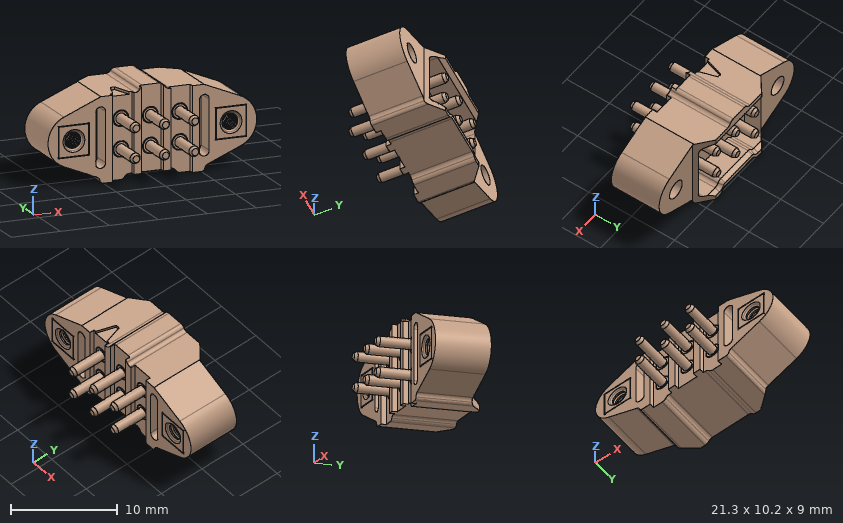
import cadquery as cq
import math

OVERALL_LENGTH = 21.3
BODY_DEPTH = 7.0
EAR_DEPTH = 5.6
OVERALL_HEIGHT = 9.0
HALF_HEIGHT = OVERALL_HEIGHT / 2
SHOULDER_HEIGHT = 4.0
SHOULDER_HALF_LENGTH = 5.26
SCREW_X = 8.0
EAR_RADIUS = OVERALL_LENGTH / 2 - SCREW_X

RIDGE_TOP_HALF = 0.87
NOTCH_TOP_HALF = 2.15
STEP_LENGTH = 0.9
FOOT_HALF_LENGTH = 5.35
FOOT_FILLET = 0.51
FOOT_ROUND = 0.35

SLANT_OUTER_X = 5.37
SLANT_INNER_X = 3.62

RECESS_DEPTH = 0.51
CENTER_RECESS_HALF = 1.1
SIDE_RECESS_INNER_X = 1.9
SIDE_RECESS_OUTER_X = 4.07

POCKET_DEPTH = 3.0
POCKET_HALF_LENGTH = 4.92
WALL = 0.77
POCKET_TOP_FILLET = 0.7
POCKET_BOTTOM_FILLET = 0.36
LEAD_IN_DEPTH = 0.51
LEAD_IN_WIDTH = 0.25

SLOT_X = 5.28
SLOT_WIDTH = 1.0
SLOT_LENGTH = 6.0
SLOT_DEPTH = 2.0

ARROW_END_Y = 2.5
ARROW_BASE_HALF = 0.83
ARROW_TIP_HALF = 0.21
ARROW_DEPTH = 0.25

PIN_PITCH = 3.0
PIN_COLUMNS = 3
PIN_ROWS = 2
PIN_RADIUS = 0.51
PIN_TAIL = 3.2
PIN_TIP_Y = 6.88
PIN_CHAMFER_LENGTH = 0.32
PIN_CHAMFER_WIDTH = 0.17
COLLAR_RADIUS = 0.72
COLLAR_LENGTH = 1.0

NUT_SIDE = 3.0
NUT_DEPTH = 3.0
THREAD_PITCH = 0.4
THREAD_MINOR_RADIUS = 0.79
THREAD_MAJOR_RADIUS = 0.98
THREAD_GROOVE_WIDTH = 0.25
NUT_CHAMFER_RADIUS = 1.1
SCREW_CLEARANCE_RADIUS = 1.0

SEAT_GAP = 0.075

PIN_XS = [(column - (PIN_COLUMNS - 1) / 2) * PIN_PITCH for column in range(PIN_COLUMNS)]
PIN_ZS = [(row - (PIN_ROWS - 1) / 2) * PIN_PITCH for row in range(PIN_ROWS)]


def plane_at(y):
    """Workplane parallel to XZ at the given Y; a negative extrusion runs toward +Y."""
    return cq.Workplane("XZ", origin=(0, y, 0))


def box(x_start, x_end, y_start, y_end, z_start, z_end):
    corner = cq.Vector(x_start, y_start, z_start)
    return cq.Workplane(cq.Solid.makeBox(x_end - x_start, y_end - y_start, z_end - z_start, corner))


def rounded_step(outline, start, end):
    """Continue a horizontal line from one level to another by two equal tangent arcs."""
    middle = ((start[0] + end[0]) / 2, (start[1] + end[1]) / 2)
    return outline.tangentArcPoint(middle, relative=False).tangentArcPoint(end, relative=False)


def ear_tangent():
    """Point on the right ear's arc where the line from the shoulder corner touches it."""
    dx = SHOULDER_HALF_LENGTH - SCREW_X
    distance = math.hypot(dx, SHOULDER_HEIGHT)
    angle = math.atan2(SHOULDER_HEIGHT, dx) - math.acos(EAR_RADIUS / distance)
    return SCREW_X + EAR_RADIUS * math.cos(angle), EAR_RADIUS * math.sin(angle)


def flange():
    """Prism of the full outer outline, with rounded feet."""
    tangent_x, tangent_z = ear_tangent()
    slope = (SHOULDER_HEIGHT - tangent_z) / (tangent_x - SHOULDER_HALF_LENGTH)
    foot_top = SHOULDER_HEIGHT - slope * (FOOT_HALF_LENGTH - SHOULDER_HALF_LENGTH)
    outline = plane_at(0).moveTo(-SHOULDER_HALF_LENGTH, SHOULDER_HEIGHT)
    outline = outline.lineTo(-RIDGE_TOP_HALF - STEP_LENGTH, SHOULDER_HEIGHT)
    outline = rounded_step(
        outline, (-RIDGE_TOP_HALF - STEP_LENGTH, SHOULDER_HEIGHT), (-RIDGE_TOP_HALF, HALF_HEIGHT)
    )
    outline = outline.lineTo(RIDGE_TOP_HALF, HALF_HEIGHT)
    outline = rounded_step(
        outline, (RIDGE_TOP_HALF, HALF_HEIGHT), (RIDGE_TOP_HALF + STEP_LENGTH, SHOULDER_HEIGHT)
    )
    outline = outline.lineTo(SHOULDER_HALF_LENGTH, SHOULDER_HEIGHT).lineTo(tangent_x, tangent_z)
    outline = outline.threePointArc((OVERALL_LENGTH / 2, 0), (tangent_x, -tangent_z))
    outline = outline.lineTo(FOOT_HALF_LENGTH, -foot_top).lineTo(FOOT_HALF_LENGTH, -HALF_HEIGHT)
    outline = bottom_notch(outline, 0)
    outline = outline.lineTo(-FOOT_HALF_LENGTH, -HALF_HEIGHT).lineTo(-FOOT_HALF_LENGTH, -foot_top)
    outline = outline.lineTo(-tangent_x, -tangent_z)
    outline = outline.threePointArc((-OVERALL_LENGTH / 2, 0), (-tangent_x, tangent_z)).close()
    body = outline.extrude(-BODY_DEPTH)
    for side in (-1, 1):
        x = side * FOOT_HALF_LENGTH
        body = body.edges(cq.NearestToPointSelector((x, BODY_DEPTH / 2, -foot_top))).fillet(FOOT_FILLET)
        body = body.edges(cq.NearestToPointSelector((x, BODY_DEPTH / 2, -HALF_HEIGHT))).fillet(FOOT_ROUND)
    return body


def bottom_notch(outline, lift):
    """Trace, from +X to -X, the raised stretch between the feet, lifted by a wall thickness."""
    low = lift - HALF_HEIGHT
    high = lift - SHOULDER_HEIGHT
    outer_x = NOTCH_TOP_HALF + STEP_LENGTH
    outline = outline.lineTo(outer_x, low)
    outline = rounded_step(outline, (outer_x, low), (NOTCH_TOP_HALF, high))
    outline = outline.lineTo(-NOTCH_TOP_HALF, high)
    return rounded_step(outline, (-NOTCH_TOP_HALF, high), (-outer_x, low))


def end_relief(side):
    """Material removed beside the mating part, bounded by its slanted end."""
    beyond = OVERALL_LENGTH
    profile = [
        (side * SLANT_OUTER_X, EAR_DEPTH),
        (side * SLANT_INNER_X, BODY_DEPTH),
        (side * beyond, BODY_DEPTH),
        (side * beyond, EAR_DEPTH),
    ]
    return cq.Workplane("XY").polyline(profile).close().extrude(HALF_HEIGHT, both=True)


def pocket_outline(y):
    top = SHOULDER_HEIGHT - WALL
    bottom = WALL - HALF_HEIGHT
    side_x = POCKET_HALF_LENGTH
    top_x = side_x - POCKET_TOP_FILLET
    bottom_x = side_x - POCKET_BOTTOM_FILLET
    top_z = top - POCKET_TOP_FILLET
    bottom_z = bottom + POCKET_BOTTOM_FILLET
    outline = plane_at(y).moveTo(-top_x, top).lineTo(top_x, top)
    outline = outline.tangentArcPoint((side_x, top_z), relative=False)
    outline = outline.lineTo(side_x, bottom_z)
    outline = outline.tangentArcPoint((bottom_x, bottom), relative=False)
    outline = bottom_notch(outline, WALL).lineTo(-bottom_x, bottom)
    outline = outline.tangentArcPoint((-side_x, bottom_z), relative=False)
    outline = outline.lineTo(-side_x, top_z)
    return outline.tangentArcPoint((-top_x, top), relative=False).close()


def mating_pocket():
    """Pocket open at the mating face, with a flared lead-in and a polarizing ridge at the bottom."""
    straight = pocket_outline(BODY_DEPTH - POCKET_DEPTH).extrude(-POCKET_DEPTH)
    flare_angle = math.degrees(math.atan2(LEAD_IN_WIDTH, LEAD_IN_DEPTH))
    lead_in = pocket_outline(BODY_DEPTH - LEAD_IN_DEPTH).extrude(-LEAD_IN_DEPTH, taper=-flare_angle)
    return straight.union(lead_in)


def rear_recess(x_start, x_end):
    return box(x_start, x_end, 0, RECESS_DEPTH, -HALF_HEIGHT, HALF_HEIGHT)


def arrow_mark():
    center_x = PIN_XS[0]
    profile = [
        (center_x - ARROW_BASE_HALF, RECESS_DEPTH),
        (center_x + ARROW_BASE_HALF, RECESS_DEPTH),
        (center_x + ARROW_TIP_HALF, ARROW_END_Y),
        (center_x - ARROW_TIP_HALF, ARROW_END_Y),
    ]
    return cq.Workplane("XY", origin=(0, 0, SHOULDER_HEIGHT)).polyline(profile).close().extrude(-ARROW_DEPTH)


def rear_slot(x):
    return plane_at(0).center(x, 0).slot2D(SLOT_LENGTH, SLOT_WIDTH, 90).extrude(-SLOT_DEPTH)


def nut_seat(x):
    """Square nut recess with a screw clearance hole behind it."""
    seat_side = NUT_SIDE + 2 * SEAT_GAP
    seat = plane_at(0).center(x, 0).rect(seat_side, seat_side).extrude(-NUT_DEPTH)
    clearance = plane_at(0).center(x, 0).circle(SCREW_CLEARANCE_RADIUS).extrude(-EAR_DEPTH)
    return seat.union(clearance)


def pin_seat(x, z):
    """Pin hole with a wider seat for the collar."""
    seat = plane_at(RECESS_DEPTH).center(x, z).circle(COLLAR_RADIUS + SEAT_GAP).extrude(-COLLAR_LENGTH)
    hole = plane_at(RECESS_DEPTH).center(x, z).circle(PIN_RADIUS).extrude(-BODY_DEPTH)
    return seat.union(hole)


def make_housing():
    housing = flange().cut(mating_pocket()).cut(arrow_mark())
    housing = housing.cut(rear_recess(-CENTER_RECESS_HALF, CENTER_RECESS_HALF))
    housing = housing.cut(rear_recess(-SIDE_RECESS_OUTER_X, -SIDE_RECESS_INNER_X))
    housing = housing.cut(rear_recess(SIDE_RECESS_INNER_X, SIDE_RECESS_OUTER_X))
    for side in (-1, 1):
        housing = housing.cut(end_relief(side))
        housing = housing.cut(rear_slot(side * SLOT_X))
        housing = housing.cut(nut_seat(side * SCREW_X))
    for x in PIN_XS:
        for z in PIN_ZS:
            housing = housing.cut(pin_seat(x, z))
    return housing


def make_pin(x, z):
    """Round pin with a collar, turned about its own axis and chamfered at both ends."""
    tip_radius = PIN_RADIUS - PIN_CHAMFER_WIDTH
    collar_end = RECESS_DEPTH + COLLAR_LENGTH
    profile = [
        (0, -PIN_TAIL),
        (tip_radius, -PIN_TAIL),
        (PIN_RADIUS, -PIN_TAIL + PIN_CHAMFER_LENGTH),
        (PIN_RADIUS, RECESS_DEPTH),
        (COLLAR_RADIUS, RECESS_DEPTH),
        (COLLAR_RADIUS, collar_end),
        (PIN_RADIUS, collar_end),
        (PIN_RADIUS, PIN_TIP_Y - PIN_CHAMFER_LENGTH),
        (tip_radius, PIN_TIP_Y),
        (0, PIN_TIP_Y),
    ]
    pin = cq.Workplane("XY").polyline(profile).close().revolve(360, (0, 0, 0), (0, 1, 0))
    return pin.translate((x, 0, z))


def thread_bore():
    """Threaded hole about the Y axis: a chamfered bore with evenly spaced V grooves."""
    chamfer_end = NUT_CHAMFER_RADIUS - THREAD_MAJOR_RADIUS
    profile = [(0, 0), (NUT_CHAMFER_RADIUS, 0), (THREAD_MAJOR_RADIUS, chamfer_end)]
    profile.append((THREAD_MINOR_RADIUS, chamfer_end + THREAD_GROOVE_WIDTH / 2))
    groove_count = int((NUT_DEPTH - chamfer_end) // THREAD_PITCH) - 1
    for groove in range(groove_count):
        center_y = chamfer_end + (groove + 1) * THREAD_PITCH
        profile.append((THREAD_MINOR_RADIUS, center_y - THREAD_GROOVE_WIDTH / 2))
        profile.append((THREAD_MAJOR_RADIUS, center_y))
        profile.append((THREAD_MINOR_RADIUS, center_y + THREAD_GROOVE_WIDTH / 2))
    profile.append((THREAD_MINOR_RADIUS, NUT_DEPTH))
    profile.append((0, NUT_DEPTH))
    return cq.Workplane("XY").polyline(profile).close().revolve(360, (0, 0, 0), (0, 1, 0))


def make_nut(x):
    block = plane_at(0).rect(NUT_SIDE, NUT_SIDE).extrude(-NUT_DEPTH)
    return block.cut(thread_bore()).translate((x, 0, 0))


housing = make_housing()
pins = [make_pin(x, z).val() for x in PIN_XS for z in PIN_ZS]
nuts = [make_nut(side * SCREW_X).val() for side in (-1, 1)]

result = cq.Compound.makeCompound([housing.val(), *pins, *nuts])